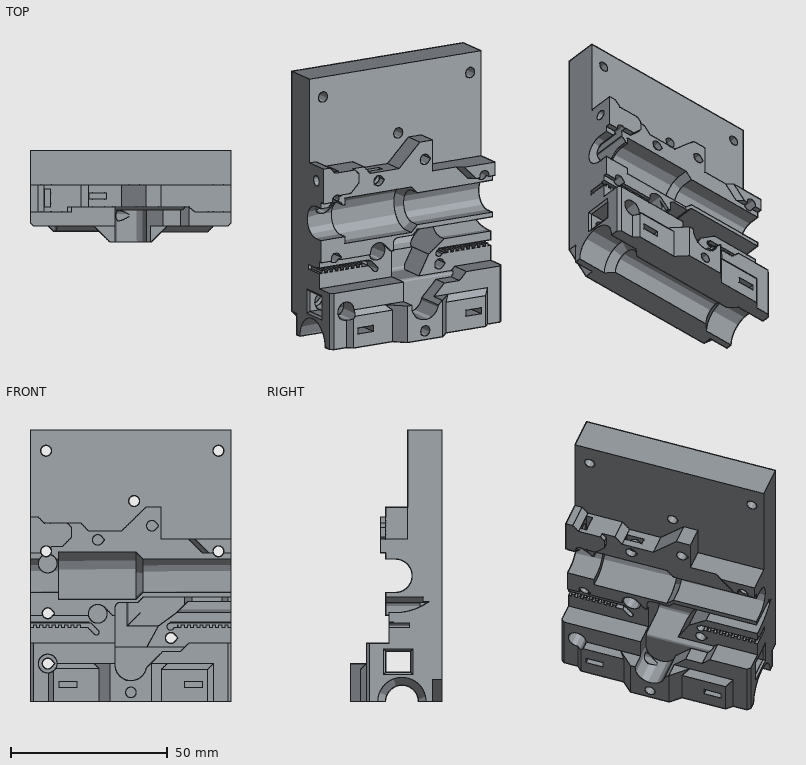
import cadquery as cq
import math


WIDTH = 64.0
HEIGHT = 86.6
PLATE_DEPTH = 11.0
BODY_DEPTH = 18.0
PAD_DEPTH = 19.7
SHELF_DEPTH = 17.0
BASE_DEPTH = 24.2
PEAK_DEPTH = 29.3

BASE_TOP = 18.6
BODY_BOTTOM = 27.45
PAD_BOTTOM = 47.4
RIGHT_ARM_TOP = 51.8
NUT_TOP = 54.4
LEFT_TOP = 56.9
RIGHT_PAD_START = 50.4
RIGHT_PAD_RAMP = 2.1

BASE_CHAMFER = 1.0
HEEL_DEPTH = 3.0
HEEL_RISE = 7.1
PEAK_TOP = 12.1
PEAK_LEFT = 25.4
PEAK_RIGHT = 38.5
LEFT_PLATFORM = (5.7, 26.0, 1.65)
RIGHT_PLATFORM = (39.0, 58.4, 1.9)

BORE_Z = 40.1
BORE_DEPTH = 14.9
NARROW_R = 5.3
WIDE_R = 7.5
WIDE_START = 9.0
WIDE_END = 33.7

POCKET_LEFT = 27.0
POCKET_TOP = 31.6
POCKET_CORNER_R = 1.65
POCKET_DEPTH = 7.0
POCKET_FOOT_R = 1.8
COVE_R = 5.0
COVE_LEFT = 30.8
COVE_BOTTOM = 24.1
WALL_KINK_X = 40.8
GROOVE_CEILING = 33.25
LEDGE_Z = 17.4
LEDGE_RIGHT = 37.15

GROOVE_Z = 28.3
GROOVE_BACK_Z = 31.9
GROOVE_LEFT = 46.6
GROOVE_TANGENT_DEPTH = 15.2
GROOVE_RAMPS = ((49.2, 2.25), (61.1, 1.8))

NOTCH_DEPTH = 19.05
NOTCH_R = 5.0
NOTCH_CENTER_Z = 11.7
NOTCH_STEP_Z = 16.0
NOTCH_RIGHT = 47.9
NOTCH_ARC_DROP = 0.95

ARCH_DEPTH = 12.8
ARCH_R = 5.2
ARCH_MOUTH_R = 7.7
WINDOW_DEPTH = 10.05
WINDOW_Z = 9.35
WINDOW_SIZE = (7.9, 6.7)
WINDOW_MARGIN = 0.7
ARCH_MOUTH_LENGTH = 10.4

SCREW_D = 3.4
HEAD_D = 6.0
NUT_WIDTH = 5.7
NUT_THICKNESS = 2.0
SCREW_COLUMN = 5.5
THROUGH_HOLES = ((5.0, 79.9), (59.9, 79.9), (33.1, 63.9), (5.0, 47.9), (59.9, 47.9))
TEARDROP_THROUGH_HOLES = ((SCREW_COLUMN, 28.15), (44.8, 20.3), (SCREW_COLUMN, 12.1))
TEARDROP_TIP_RATIO = 1.3
NUT_HOLE = (21.5, 51.5)
TEARDROP_BLIND_HOLES = (NUT_HOLE, (38.7, 56.0))
NUT_HOLE_DEPTH = 14.55
SIDE_HOLE = (15.2, 53.95)
SIDE_HOLE_LENGTH = 10.4
SIDE_NUT_X = 4.5
BLIND_FLOOR = 10.4
BELT_HEAD_BORE = (21.5, 28.0)
HEAD_BORES = ((SCREW_COLUMN, 44.0), BELT_HEAD_BORE, (SCREW_COLUMN, 12.1))
HEAD_FLOOR = 5.2
NOTCH_HOLE_DEPTH = 20.8
NOTCH_HOLE_START = 17.3
PEAK_HOLE_Z = 2.95
PEAK_HOLE_LENGTH = 5.2
FRONT_NUT_CENTERS = (11.95, 52.05)
FRONT_NUT_Z = 5.45
FRONT_NUT_FLOOR = 19.9

BELT_PITCH = 2.0
BELT_FLOOR = 10.5
BELT_TOP = 25.0
BELT_TOOTH_TOP = 24.4
BELT_TOOTH_BOTTOM = 23.55
BELT_MOUTH_TOP = 25.4
BELT_MOUTH_DEPTH = 15.6
BELT_PLAIN = 2.2
LEFT_BELT_LENGTH = 18.6
LEFT_BELT_TAIL = (21.05, 22.1)
BELT_TAIL_LENGTH = 3.0
BELT_TAIL_R = 0.9
RIGHT_BELT_TAIL = (44.7, 23.9)
RIGHT_TAIL_R = 1.1


def front_plane(depth):
    return cq.Workplane("XZ", origin=(0, -depth, 0))


def front_prism(points, depth_from, depth_to):
    """Prism with an X-Z outline between two depths."""
    return front_plane(depth_from).polyline(points).close().extrude(depth_to - depth_from)


def block(x0, x1, depth0, depth1, z0, z1):
    corner = cq.Workplane("XY", origin=(x0, -depth1, z0))
    return corner.box(x1 - x0, depth1 - depth0, z1 - z0, centered=False)


def front_cylinder(x, z, diameter, depth_from, depth_to):
    return front_plane(depth_from).center(x, z).circle(diameter / 2).extrude(depth_to - depth_from)


def x_cylinder(depth, z, radius, x0, x1):
    return cq.Workplane("YZ", origin=(x0, -depth, z)).circle(radius).extrude(x1 - x0)


def body():
    outline = [
        (0, BODY_BOTTOM), (WALL_KINK_X, BODY_BOTTOM), (WALL_KINK_X, GROOVE_CEILING),
        (WIDTH, GROOVE_CEILING), (WIDTH, RIGHT_ARM_TOP), (41.65, RIGHT_ARM_TOP),
        (41.65, 62.0), (36.9, 62.0), (29.1, NUT_TOP), (18.5, NUT_TOP), (16.1, LEFT_TOP), (4.4, LEFT_TOP),
        (2.4, 58.9), (0, 58.9),
    ]
    plate = block(0, WIDTH, 0, PLATE_DEPTH, 0, HEIGHT)
    shelf = block(0, WIDTH, 0, SHELF_DEPTH, 0, GROOVE_CEILING)
    return plate.union(front_prism(outline, 0, BODY_DEPTH)).union(shelf)


def raised_pads():
    left_outline = [
        (0, PAD_BOTTOM), (4.85, PAD_BOTTOM), (6.75, 49.4), (10.1, 49.4), (13.2, 52.4), (13.2, 55.5),
        (11.8, LEFT_TOP), (4.4, LEFT_TOP), (2.4, 58.9), (0, 58.9),
    ]
    left = front_prism(left_outline, BODY_DEPTH, PAD_DEPTH)

    def right_section(start):
        """Outline whose left edge slants 45 degrees away towards the bottom of the pad."""
        drop = RIGHT_ARM_TOP - PAD_BOTTOM
        return [
            (start, RIGHT_ARM_TOP), (WIDTH, RIGHT_ARM_TOP), (WIDTH, PAD_BOTTOM), (start + drop, PAD_BOTTOM),
        ]

    right = (
        front_plane(BODY_DEPTH)
        .polyline(right_section(RIGHT_PAD_START))
        .close()
        .workplane(offset=PAD_DEPTH - BODY_DEPTH)
        .polyline(right_section(RIGHT_PAD_START + RIGHT_PAD_RAMP))
        .close()
        .loft(ruled=True)
    )
    return left.union(right)


def base_block():
    block_outline = [
        (0, 0), (0, -BASE_DEPTH + BASE_CHAMFER), (BASE_CHAMFER, -BASE_DEPTH),
        (WIDTH - BASE_CHAMFER, -BASE_DEPTH), (WIDTH, -BASE_DEPTH + BASE_CHAMFER), (WIDTH, 0),
    ]
    base = cq.Workplane("XY").polyline(block_outline).close().extrude(BASE_TOP)
    rise = PEAK_DEPTH - BASE_DEPTH
    peak_outline = [
        (PEAK_LEFT - rise, -BASE_DEPTH), (PEAK_LEFT, -PEAK_DEPTH),
        (PEAK_RIGHT, -PEAK_DEPTH), (PEAK_RIGHT + rise, -BASE_DEPTH),
    ]
    peak = cq.Workplane("XY").polyline(peak_outline).close().extrude(PEAK_TOP)
    return base.union(peak)


def platform(left, right, rise, slopes_left):
    """Raised front platform with a 45 degree bevel on its top and on its outer side."""
    inner_left = left + rise if slopes_left else left
    inner_right = right if slopes_left else right - rise
    return (
        front_plane(BASE_DEPTH)
        .polyline([(left, 0), (right, 0), (right, PEAK_TOP), (left, PEAK_TOP)])
        .close()
        .workplane(offset=rise)
        .polyline([
            (inner_left, 0), (inner_right, 0),
            (inner_right, PEAK_TOP - rise), (inner_left, PEAK_TOP - rise),
        ])
        .close()
        .loft(ruled=True)
    )


def open_bore(radius, x0, x1):
    """Round-bottomed channel along X, open to the front."""
    slot = block(x0, x1, BORE_DEPTH, PEAK_DEPTH, BORE_Z - radius, BORE_Z + radius)
    return x_cylinder(BORE_DEPTH, BORE_Z, radius, x0, x1).union(slot)


def cable_bore():
    taper = WIDE_R - NARROW_R
    taper_end = WIDE_END + taper
    cone = (
        cq.Workplane("YZ", origin=(WIDE_END, -BORE_DEPTH, BORE_Z))
        .circle(WIDE_R)
        .workplane(offset=taper)
        .circle(NARROW_R)
        .loft()
    )
    wedge = front_prism(
        [
            (WIDE_END, BORE_Z - WIDE_R), (taper_end, BORE_Z - NARROW_R),
            (taper_end, BORE_Z + NARROW_R), (WIDE_END, BORE_Z + WIDE_R),
        ],
        BORE_DEPTH, PEAK_DEPTH,
    )
    channel = open_bore(NARROW_R, 0, WIDTH).union(open_bore(WIDE_R, WIDE_START, WIDE_END))
    return channel.union(cone).union(wedge)


def pocket_outline(depth_from, depth_to):
    """Outline of the central pocket, bounded on the right by a kinked slanting wall."""
    bend = POCKET_CORNER_R * (1 - math.sqrt(0.5))
    step = GROOVE_CEILING - POCKET_TOP
    step_x = WIDE_END + WIDE_R - NARROW_R
    return (
        front_plane(depth_from)
        .moveTo(POCKET_LEFT, LEDGE_Z)
        .lineTo(LEDGE_RIGHT, LEDGE_Z)
        .lineTo(WALL_KINK_X, COVE_BOTTOM)
        .lineTo(GROOVE_LEFT, GROOVE_Z)
        .lineTo(GROOVE_LEFT + GROOVE_CEILING - GROOVE_Z, GROOVE_CEILING)
        .lineTo(step_x, GROOVE_CEILING)
        .lineTo(step_x - step, POCKET_TOP)
        .lineTo(POCKET_LEFT + POCKET_CORNER_R, POCKET_TOP)
        .threePointArc(
            (POCKET_LEFT + bend, POCKET_TOP - bend), (POCKET_LEFT, POCKET_TOP - POCKET_CORNER_R)
        )
        .close()
        .extrude(depth_to - depth_from)
    )


def quarter_cove(plane):
    """Space in front of a concave quarter round; local axes are -depth and the outward distance."""
    floor = POCKET_DEPTH - COVE_R
    bend = COVE_R * (1 - math.sqrt(0.5))
    return (
        plane.moveTo(-POCKET_DEPTH, 0)
        .threePointArc((-floor - bend, bend), (-floor, COVE_R))
        .lineTo(-floor, WIDTH)
        .lineTo(-POCKET_DEPTH, WIDTH)
        .close()
        .extrude(WIDTH)
    )


def central_pocket():
    foot_bend = POCKET_FOOT_R * (1 - math.sqrt(0.5))
    foot_fill = (
        cq.Workplane("YZ")
        .moveTo(-POCKET_DEPTH, LEDGE_Z)
        .lineTo(-POCKET_DEPTH - POCKET_FOOT_R, LEDGE_Z)
        .threePointArc(
            (-POCKET_DEPTH - foot_bend, LEDGE_Z + foot_bend), (-POCKET_DEPTH, LEDGE_Z + POCKET_FOOT_R)
        )
        .close()
        .extrude(WIDTH)
    )
    upper = pocket_outline(POCKET_DEPTH, PEAK_DEPTH).cut(foot_fill)
    bottom_cove = quarter_cove(cq.Workplane("YZ", origin=(0, 0, COVE_BOTTOM)))
    side_plane = cq.Plane(origin=(COVE_LEFT, 0, 0), xDir=(0, 1, 0), normal=(0, 0, -1))
    side_cove = quarter_cove(cq.Workplane(side_plane)).translate((0, 0, WIDTH))
    deep = pocket_outline(POCKET_DEPTH - COVE_R, POCKET_DEPTH).intersect(bottom_cove).intersect(side_cove)
    ramp_start, ramp_rise = GROOVE_RAMPS[0]
    floor = POCKET_DEPTH - COVE_R
    ramp = (
        cq.Workplane("XY")
        .polyline([
            (ramp_start, -floor), (ramp_start + ramp_rise, -floor - ramp_rise), (WIDTH, -floor - ramp_rise),
            (WIDTH, -floor),
        ])
        .close()
        .extrude(HEIGHT)
    )
    return upper.union(deep).cut(ramp)


def groove():
    """Groove from the pocket to the right side: a curved shelf in front of a stepped back."""
    pocket_floor = POCKET_DEPTH - COVE_R
    (start_1, rise_1), (start_2, rise_2) = GROOVE_RAMPS
    back_1 = pocket_floor + rise_1
    back_2 = back_1 + rise_2
    back_points = [
        (GROOVE_LEFT, -pocket_floor), (start_1, -pocket_floor), (start_1 + rise_1, -back_1),
        (start_2, -back_1), (start_2 + rise_2, -back_2), (WIDTH, -back_2),
    ]
    front_points = [(WIDTH, -BODY_DEPTH), (GROOVE_LEFT, -BODY_DEPTH)]
    upper = (
        cq.Workplane("XY", origin=(0, 0, GROOVE_BACK_Z))
        .polyline(back_points + front_points)
        .close()
        .extrude(GROOVE_CEILING - GROOVE_BACK_Z)
    )

    run = GROOVE_TANGENT_DEPTH - back_1
    rise = GROOVE_BACK_Z - GROOVE_Z
    radius = (run**2 + rise**2) / (2 * rise)
    half_angle = math.asin(run / radius) / 2
    middle = (
        -GROOVE_TANGENT_DEPTH + radius * math.sin(half_angle),
        GROOVE_Z + radius * (1 - math.cos(half_angle)),
    )
    shelf = (
        cq.Workplane("YZ", origin=(GROOVE_LEFT, 0, 0))
        .moveTo(-BODY_DEPTH, GROOVE_Z)
        .lineTo(-GROOVE_TANGENT_DEPTH, GROOVE_Z)
        .threePointArc(middle, (-back_1, GROOVE_BACK_Z))
        .lineTo(-BODY_DEPTH, GROOVE_BACK_Z)
        .close()
        .extrude(WIDTH - GROOVE_LEFT)
    )
    return upper.union(shelf)


def base_notch():
    """Notch through the base block: round bottom, slanted right side and a rounded sill behind."""
    center_x = POCKET_LEFT + NOTCH_R
    arc_end_x = center_x + math.sqrt(NOTCH_R**2 - NOTCH_ARC_DROP**2)
    arc_end_z = NOTCH_CENTER_Z - NOTCH_ARC_DROP
    top = BASE_TOP
    cut = (
        front_plane(NOTCH_DEPTH)
        .moveTo(POCKET_LEFT, top)
        .lineTo(POCKET_LEFT, NOTCH_CENTER_Z)
        .threePointArc((center_x, NOTCH_CENTER_Z - NOTCH_R), (arc_end_x, arc_end_z))
        .lineTo(arc_end_x + NOTCH_STEP_Z - arc_end_z, NOTCH_STEP_Z)
        .lineTo(NOTCH_RIGHT, NOTCH_STEP_Z)
        .lineTo(NOTCH_RIGHT + top - NOTCH_STEP_Z, top)
        .close()
        .extrude(PEAK_DEPTH - NOTCH_DEPTH)
    )
    sill_r = LEDGE_Z - NOTCH_STEP_Z
    bend = sill_r * math.sqrt(0.5)
    sill_clearance = (
        cq.Workplane("YZ", origin=(POCKET_LEFT, 0, 0))
        .moveTo(-NOTCH_DEPTH, NOTCH_STEP_Z)
        .threePointArc(
            (-NOTCH_DEPTH + sill_r - bend, NOTCH_STEP_Z + bend), (-NOTCH_DEPTH + sill_r, LEDGE_Z)
        )
        .lineTo(-SHELF_DEPTH, LEDGE_Z)
        .lineTo(-SHELF_DEPTH, top)
        .lineTo(-NOTCH_DEPTH, top)
        .close()
        .extrude(WIDTH - POCKET_LEFT)
    )
    right_limit = front_prism(
        [
            (POCKET_LEFT, NOTCH_STEP_Z), (NOTCH_RIGHT, NOTCH_STEP_Z),
            (NOTCH_RIGHT + top - NOTCH_STEP_Z, top), (POCKET_LEFT, top),
        ],
        SHELF_DEPTH, NOTCH_DEPTH,
    )
    return cut.union(sill_clearance.intersect(right_limit))


def arch():
    """Half-round passage under the base, wider at each end with a conical step between."""
    passage = x_cylinder(ARCH_DEPTH, 0, ARCH_R, 0, WIDTH)
    cone = (
        cq.Workplane("YZ", origin=(ARCH_MOUTH_LENGTH, -ARCH_DEPTH, 0))
        .circle(ARCH_MOUTH_R)
        .workplane(offset=ARCH_MOUTH_R - ARCH_R)
        .circle(ARCH_R)
        .loft()
    )
    mouth = x_cylinder(ARCH_DEPTH, 0, ARCH_MOUTH_R, 0, ARCH_MOUTH_LENGTH).union(cone)
    return passage.union(mouth).union(mouth.mirror("YZ", (WIDTH / 2, 0, 0)))


def window():
    """Rectangular passage along X with a bevelled mouth at each end."""
    length, height = WINDOW_SIZE
    start = cq.Workplane("YZ", origin=(0, -WINDOW_DEPTH - length / 2, WINDOW_Z + height / 2))
    passage = start.rect(length, height).extrude(WIDTH)
    mouth = (
        start.rect(length + 2 * WINDOW_MARGIN, height + 2 * WINDOW_MARGIN)
        .workplane(offset=WINDOW_MARGIN)
        .rect(length, height)
        .loft(ruled=True)
    )
    return passage.union(mouth).union(mouth.mirror("YZ", (WIDTH / 2, 0, 0)))


def teardrop(x, z, floor):
    """Screw hole with a pointed right side whose flanks touch the round part."""
    radius = SCREW_D / 2
    touch_x = radius / TEARDROP_TIP_RATIO
    touch_z = math.sqrt(radius**2 - touch_x**2)
    tip = (x + radius * TEARDROP_TIP_RATIO, z)
    outline = [(x, z), (x + touch_x, z - touch_z), tip, (x + touch_x, z + touch_z)]
    point = front_prism(outline, floor, PEAK_DEPTH)
    return front_cylinder(x, z, SCREW_D, floor, PEAK_DEPTH).union(point)


def fasteners():
    """Screw holes, head bores and nut slots; the slots reach down past the screws they hold."""
    front = PEAK_DEPTH
    cuts = block(
        SIDE_NUT_X, SIDE_NUT_X + NUT_THICKNESS,
        SIDE_HOLE[0] - NUT_WIDTH / 2, SIDE_HOLE[0] + NUT_WIDTH / 2,
        SIDE_HOLE[1] - NUT_WIDTH / 2, HEIGHT,
    )
    cuts = cuts.union(block(
        NUT_HOLE[0] - NUT_WIDTH / 2, NUT_HOLE[0] + NUT_WIDTH / 2,
        NUT_HOLE_DEPTH - NUT_THICKNESS / 2, NUT_HOLE_DEPTH + NUT_THICKNESS / 2,
        NUT_HOLE[1] - NUT_WIDTH / 2, HEIGHT,
    ))
    cuts = cuts.union(x_cylinder(SIDE_HOLE[0], SIDE_HOLE[1], SCREW_D / 2, 0, SIDE_HOLE_LENGTH))
    for x, z in THROUGH_HOLES:
        cuts = cuts.union(front_cylinder(x, z, SCREW_D, 0, front))
    for x, z in TEARDROP_THROUGH_HOLES:
        cuts = cuts.union(teardrop(x, z, 0))
    for x, z in TEARDROP_BLIND_HOLES:
        cuts = cuts.union(teardrop(x, z, BLIND_FLOOR))
    for x, z in HEAD_BORES:
        cuts = cuts.union(front_cylinder(x, z, HEAD_D, HEAD_FLOOR, front))
    for x in FRONT_NUT_CENTERS:
        cuts = cuts.union(block(
            x - NUT_WIDTH / 2, x + NUT_WIDTH / 2, FRONT_NUT_FLOOR, front,
            FRONT_NUT_Z - NUT_THICKNESS / 2, FRONT_NUT_Z + NUT_THICKNESS / 2,
        ))

    notch_x = POCKET_LEFT + NOTCH_R
    notch_hole_z = NOTCH_CENTER_Z - NOTCH_R + SCREW_D / 2
    cuts = cuts.union(x_cylinder(NOTCH_HOLE_DEPTH, notch_hole_z, SCREW_D / 2, NOTCH_HOLE_START, notch_x))
    return cuts.union(front_cylinder(notch_x, PEAK_HOLE_Z, SCREW_D, front - PEAK_HOLE_LENGTH, front))


def belt_slot(length, tail):
    """Toothed slot running inwards from the left side to a plain stretch; tail is the end pocket."""
    slot = block(0, length, BELT_FLOOR, BODY_DEPTH, BELT_TOOTH_TOP, BELT_TOP)
    slot = slot.union(block(0, length, BELT_MOUTH_DEPTH, BODY_DEPTH, BELT_TOOTH_TOP, BELT_MOUTH_TOP))
    tooth_starts = [i * BELT_PITCH for i in range(int((length - BELT_PLAIN) / BELT_PITCH) + 1)]
    for start in tooth_starts:
        slot = slot.union(
            block(start, start + BELT_PITCH / 2, BELT_FLOOR, BODY_DEPTH, BELT_TOOTH_BOTTOM, BELT_TOP)
        )
    plain = block(length - BELT_PLAIN, length, BELT_FLOOR, BODY_DEPTH, BELT_TOOTH_BOTTOM, BELT_TOP)
    return slot.union(plain).union(tail)


def slanted_tail():
    """Round-ended pocket that leads the left belt down at 45 degrees."""
    run = BELT_TAIL_LENGTH * math.sqrt(0.5)
    x, z = LEFT_BELT_TAIL
    return (
        front_plane(BELT_FLOOR)
        .center(x - run / 2, z + run / 2)
        .transformed(rotate=(0, 0, -45))
        .slot2D(BELT_TAIL_LENGTH + 2 * BELT_TAIL_R, 2 * BELT_TAIL_R)
        .extrude(BODY_DEPTH - BELT_FLOOR)
    )


def belt_slots():
    left = belt_slot(LEFT_BELT_LENGTH, slanted_tail())
    x, z = RIGHT_BELT_TAIL
    mirrored_tail = front_cylinder(WIDTH - x, z, 2 * RIGHT_TAIL_R, BELT_FLOOR, BODY_DEPTH)
    right = belt_slot(WIDTH - x, mirrored_tail).mirror("YZ", (WIDTH / 2, 0, 0))
    return left.union(right)


def heels():
    """Slanted cut under the back edge at each side."""
    triangle = [(0, 0), (HEEL_RISE, 0), (0, HEEL_RISE)]
    left = front_prism(triangle, 0, HEEL_DEPTH)
    return left.union(left.mirror("YZ", (WIDTH / 2, 0, 0)))


def head_notch():
    """Shallow corner beside the head bore, bounded by a 45 degree line touching the bore."""
    x, z = BELT_HEAD_BORE
    touch = HEAD_D / 2 * math.sqrt(0.5)
    foot = touch + z - BODY_BOTTOM
    points = [
        (x, BODY_BOTTOM), (x, z), (x + touch, z + touch), (x + touch + foot, BODY_BOTTOM),
    ]
    return front_prism(points, SHELF_DEPTH, BODY_DEPTH)


result = body().union(raised_pads()).union(base_block())
result = result.union(platform(*LEFT_PLATFORM, True)).union(platform(*RIGHT_PLATFORM, False))
result = result.cut(cable_bore()).cut(central_pocket()).cut(groove())
result = result.cut(base_notch()).cut(arch()).cut(window()).cut(fasteners())
result = result.cut(belt_slots()).cut(heels()).cut(head_notch())